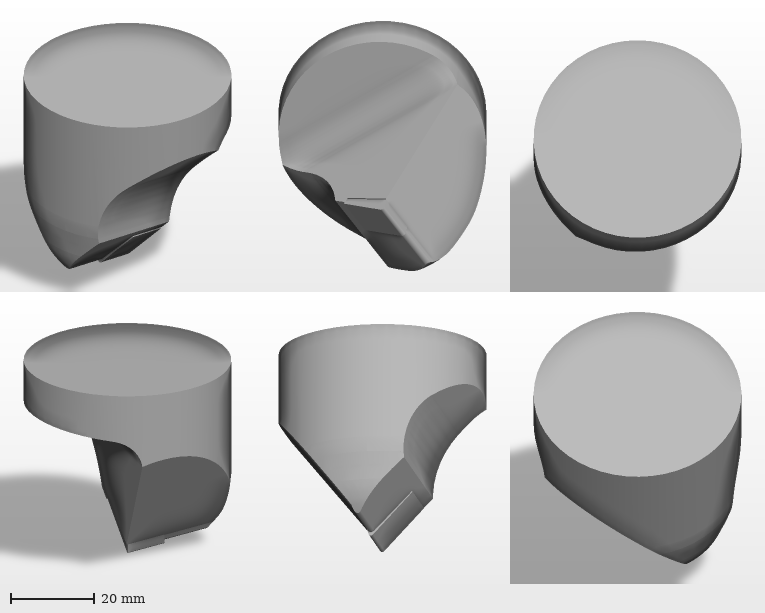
import cadquery as cq
import math

radius = 25.0
tip_depth = 49.65
relief = 8.3
reach = 75.0

shank_end = -28.2
cone_start = (24.7, -31.85)
cone_end = (23.5, -38.45)
heel = (19.8, -45.9)

pocket_angle = 6.0
pocket_edge_depth = 10.35
pocket_fillet = 7.65
rake_lead = 0.35

flank_angle = 51.5
flank_foot = (-1.3, 2.6)
nose_left = (-0.85, 1.45)
nose_bottom = (0.0, 0.95)
nose_right = (0.65, 1.2)
short_flank_top = (12.0, 13.2)
throat_start = (12.0, 14.5)
throat_end = (17.65, 29.6)
throat_angle = 47.5

insert_length = 9.45
insert_top = (-1.45, 2.85)
insert_left = (-0.6, 0.35)
insert_right = (0.55, 0.3)
insert_end = (10.0, 10.7)
insert_width = 1.6


def rake_plane(lead=0.0):
    """Plane of the insert face, moved forward by lead; its normal points out of the face."""
    lean = math.radians(relief)
    normal = (0, math.cos(lean), -math.sin(lean))
    origin = (0, lead * normal[1], -tip_depth + lead * normal[2])
    return cq.Workplane(cq.Plane(origin=origin, xDir=(-1, 0, 0), normal=normal))


def on_rake(point):
    """Turn (X, height) into rake plane coordinates, whose first axis runs along -X."""
    return (-point[0], point[1])


def envelope():
    return (
        cq.Workplane("XZ")
        .lineTo(radius, 0)
        .lineTo(radius, shank_end)
        .tangentArcPoint(cone_start, relative=False)
        .lineTo(*cone_end)
        .tangentArcPoint(heel, relative=False)
        .lineTo(0, heel[1] - heel[0])
        .close()
        .revolve(360, (0, 0), (0, 1))
    )


def nose_prism():
    """Flanks and throat, swept square to the rake face."""
    left_top = (flank_foot[0] - reach, flank_foot[1] + reach * math.tan(math.radians(flank_angle)))
    right_top = (throat_end[0] + reach, throat_end[1] + reach * math.tan(math.radians(throat_angle)))
    return (
        rake_plane(reach)
        .moveTo(*on_rake(left_top))
        .lineTo(*on_rake(flank_foot))
        .lineTo(*on_rake(nose_left))
        .threePointArc(on_rake(nose_bottom), on_rake(nose_right))
        .lineTo(*on_rake(short_flank_top))
        .lineTo(*on_rake(throat_start))
        .tangentArcPoint(on_rake(throat_end), relative=False)
        .lineTo(*on_rake(right_top))
        .close()
        .extrude(-2 * reach)
    )


def rake_pocket():
    """Clearance ahead of the rake face, with a rounded inner corner."""
    lean = math.tan(math.radians(relief))
    roof_slope = math.tan(math.radians(pocket_angle))
    face_y = rake_lead / math.cos(math.radians(relief))
    roof_base = -pocket_edge_depth - roof_slope * radius
    corner_y = (face_y + lean * (tip_depth + roof_base)) / (1 - lean * roof_slope)
    corner_z = roof_base + roof_slope * corner_y
    outer_z = roof_base + roof_slope * reach
    bottom_y = face_y + lean * (tip_depth - reach)
    return (
        cq.Workplane("YZ")
        .polyline([(bottom_y, -reach), (corner_y, corner_z), (reach, outer_z), (reach, -reach)])
        .close()
        .extrude(reach, both=True)
        .edges(cq.selectors.NearestToPointSelector((0, corner_y, corner_z)))
        .fillet(pocket_fillet)
    )


def insert_prism(lead, length):
    """Insert outline swept backward from a plane lead ahead of the insert face."""
    angle = math.atan2(insert_end[1] - insert_right[1], insert_end[0] - insert_right[0])
    end_top = (
        insert_end[0] - insert_width * math.sin(angle),
        insert_end[1] + insert_width * math.cos(angle),
    )
    return (
        rake_plane(lead)
        .moveTo(*on_rake(insert_top))
        .lineTo(*on_rake(insert_left))
        .threePointArc((0, 0), on_rake(insert_right))
        .lineTo(*on_rake(insert_end))
        .lineTo(*on_rake(end_top))
        .close()
        .extrude(-length)
    )


body = envelope().intersect(nose_prism()).cut(rake_pocket())
body = body.cut(insert_prism(rake_lead, rake_lead))
result = body.union(insert_prism(0, insert_length))